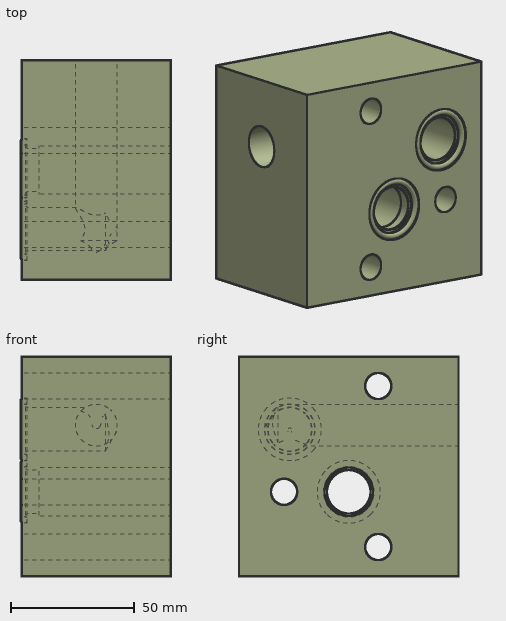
import cadquery as cq
import math

BLOCK_SIDE = 88.9
BLOCK_DEPTH = 60.4

RING_SECTION_DIAMETER = 2.7
RING_PROTRUSION = 0.45
SEAT_DIAMETER = 25.4
SEAT_DEPTH = RING_SECTION_DIAMETER - RING_PROTRUSION
RING_CENTRE_RADIUS = (SEAT_DIAMETER - RING_SECTION_DIAMETER) / 2

BEAD_RADIUS = 0.6
BEAD_CENTRE_RADIUS = 9.6

PORT_DIAMETER = 17.5
THROUGH_PORT = (0.0, -10.2)
BLIND_PORT = (-23.8, 15.0)
PORTS = [THROUGH_PORT, BLIND_PORT]
DRILL_TIP_ANGLE = 120.0

REAR_BORE_DIAMETER = 19.6
REAR_BORE_START_X = 6.9

CROSS_DIAMETER = 16.9
CROSS_X = BLOCK_DEPTH / 2
CROSS_Z = BLIND_PORT[1] + 1.7
CROSS_END_Y = BLIND_PORT[0] - 4.7
TIP_OVERSHOOT = 0.3

MOUNTING_DIAMETER = 10.5
MOUNTING_HOLES = [(11.9, 32.5), (11.9, -32.5), (-26.1, THROUGH_PORT[1])]

X_DIRECTION = cq.Vector(1, 0, 0)
MINUS_Y_DIRECTION = cq.Vector(0, -1, 0)


def point_at(x, place):
    """Point at depth x on the axis of a feature placed at (Y, Z)."""
    y, z = place
    return cq.Vector(x, y, z)


def straight_hole(diameter, start_x, end_x, place):
    """Cylinder along X between two depths."""
    return cq.Solid.makeCylinder(diameter / 2, end_x - start_x, point_at(start_x, place), X_DIRECTION)


def tip_length(diameter):
    """Length of the conical end left by a drill."""
    return diameter / 2 / math.tan(math.radians(DRILL_TIP_ANGLE / 2))


def drilled_hole(diameter, length, start, direction):
    """Cylinder of the given length that ends in a drill cone."""
    radius = diameter / 2
    barrel = cq.Solid.makeCylinder(radius, length, start, direction)
    tip = cq.Solid.makeCone(radius, 0, tip_length(diameter), start + direction * length, direction)
    return barrel.fuse(tip)


def ring_around_x(centre_radius, section_radius, x, place):
    """Torus whose axis runs along X."""
    return cq.Solid.makeTorus(centre_radius, section_radius, point_at(x, place), X_DIRECTION)


def make_blind_port():
    """Drilling whose tip just passes the far wall of the cross drilling."""
    tip_x = CROSS_X + CROSS_DIAMETER / 2 + TIP_OVERSHOOT
    length = tip_x - tip_length(PORT_DIAMETER)
    return drilled_hole(PORT_DIAMETER, length, point_at(0, BLIND_PORT), X_DIRECTION)


def make_cross_drilling():
    start_y = BLOCK_SIDE / 2
    start = cq.Vector(CROSS_X, start_y, CROSS_Z)
    return drilled_hole(CROSS_DIAMETER, start_y - CROSS_END_Y, start, MINUS_Y_DIRECTION)


def make_block():
    block = cq.Workplane("XY").box(BLOCK_DEPTH, BLOCK_SIDE, BLOCK_SIDE, centered=(False, True, True))

    for place in MOUNTING_HOLES:
        block = block.cut(cq.Workplane(straight_hole(MOUNTING_DIAMETER, 0, BLOCK_DEPTH, place)))

    for place in PORTS:
        block = block.cut(cq.Workplane(straight_hole(SEAT_DIAMETER, 0, SEAT_DEPTH, place)))
        bead = ring_around_x(BEAD_CENTRE_RADIUS, BEAD_RADIUS, SEAT_DEPTH, place)
        block = block.union(cq.Workplane(bead))

    front_bore = straight_hole(PORT_DIAMETER, 0, REAR_BORE_START_X, THROUGH_PORT)
    rear_bore = straight_hole(REAR_BORE_DIAMETER, REAR_BORE_START_X, BLOCK_DEPTH, THROUGH_PORT)
    block = block.cut(cq.Workplane(front_bore)).cut(cq.Workplane(rear_bore))

    block = block.cut(cq.Workplane(make_blind_port()))
    return block.cut(cq.Workplane(make_cross_drilling()))


def make_seal_ring(place):
    """Round-section ring that rests on the floor of its seat."""
    section_radius = RING_SECTION_DIAMETER / 2
    return ring_around_x(RING_CENTRE_RADIUS, section_radius, SEAT_DEPTH - section_radius, place)


block = make_block()
seal_rings = [make_seal_ring(place) for place in PORTS]

result = cq.Compound.makeCompound([block.solids().val(), *seal_rings])